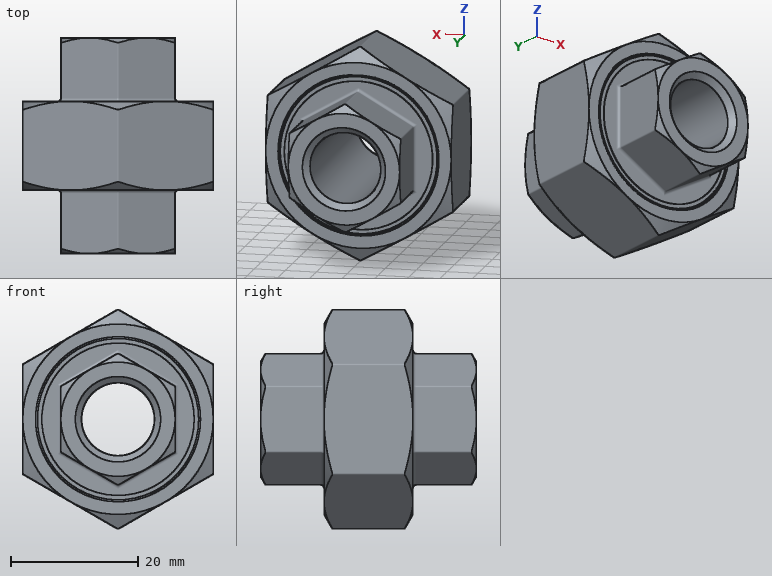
import cadquery as cq
import math

total_length = 34.0
nut_length = 14.0
nut_across_flats = 30.0
end_across_flats = 18.0
hex_sides = 6
corner_up_angle = 90.0
corner_radius = 0.3
hex_chamfer_angle = 30.0
bore_diameter = 11.45
mouth_chamfer = 1.0
nut_opening_diameter = 26.0
collar_diameter = 25.4
collar_face_diameter = 24.0
opening_depth = 0.5
rim_step = 0.1
root_fillet = 0.5

selection_tolerance = 0.1

nut_face = nut_length / 2
end_face = total_length / 2
rim_face = nut_face - rim_step


def along_y(profile, length):
    """Extrude a profile drawn on XZ symmetrically about the XZ plane."""
    return profile.extrude(length / 2, both=True)


def revolve_about_y(outline):
    """Turn a closed (radius, y) outline about the Y axis."""
    return cq.Workplane("XY").polyline(outline).close().revolve(360, (0, 0, 0), (0, 1, 0))


def disc(diameter, length):
    """Cylinder on the Y axis, centred on the origin."""
    return along_y(cq.Workplane("XZ").circle(diameter / 2), length)


def sharp_hex(across_flats, length):
    """Hexagonal bar with sharp corners and with flats facing +X and -X."""
    corner_circle = across_flats / math.cos(math.pi / hex_sides)
    outline = cq.Workplane("XZ").transformed(rotate=(0, 0, corner_up_angle)).polygon(hex_sides, corner_circle)
    return along_y(outline, length)


def corner_cone(across_flats, length):
    """Double-coned envelope that trims the corners at both ends of a hexagonal bar."""
    face_radius = across_flats / 2
    envelope_radius = across_flats
    half = length / 2
    drop = (envelope_radius - face_radius) * math.tan(math.radians(hex_chamfer_angle))
    outline = [
        (0, -half),
        (face_radius, -half),
        (envelope_radius, drop - half),
        (envelope_radius, half - drop),
        (face_radius, half),
        (0, half),
    ]
    return revolve_about_y(outline)


def hollow_nut():
    """Centre nut with a round opening sunk into each face."""
    nut = sharp_hex(nut_across_flats, nut_length).edges("|Y").fillet(corner_radius)
    nut = nut.intersect(corner_cone(nut_across_flats, nut_length))
    core = disc(nut_opening_diameter, nut_length - 2 * opening_depth)
    opening = disc(nut_opening_diameter, nut_length).cut(core)
    return nut.cut(opening)


def edges_centred_at(y):
    """Selector for edges whose centre lies close to the given Y position."""
    reach = total_length
    return cq.selectors.BoxSelector(
        (-reach, y - selection_tolerance, -reach),
        (reach, y + selection_tolerance, reach),
    )


def body():
    """Collared body carrying an end hexagon on both sides."""
    part = sharp_hex(end_across_flats, total_length)
    part = part.union(disc(collar_face_diameter, nut_length))
    corner_middle = (nut_face + root_fillet + end_face) / 2
    for side in (-1, 1):
        part = part.edges(edges_centred_at(side * nut_face)).edges("%LINE").fillet(root_fillet)
        part = part.edges(edges_centred_at(side * corner_middle)).edges("|Y").fillet(corner_radius)
    part = part.intersect(corner_cone(end_across_flats, total_length))
    return part.union(disc(collar_diameter, 2 * rim_face))


def bore_tool():
    """Through bore with a conical mouth at each end."""
    bore_radius = bore_diameter / 2
    mouth_radius = bore_radius + mouth_chamfer
    outline = [
        (0, -end_face),
        (mouth_radius, -end_face),
        (bore_radius, mouth_chamfer - end_face),
        (bore_radius, end_face - mouth_chamfer),
        (mouth_radius, end_face),
        (0, end_face),
    ]
    return revolve_about_y(outline)


result = hollow_nut().union(body()).cut(bore_tool())